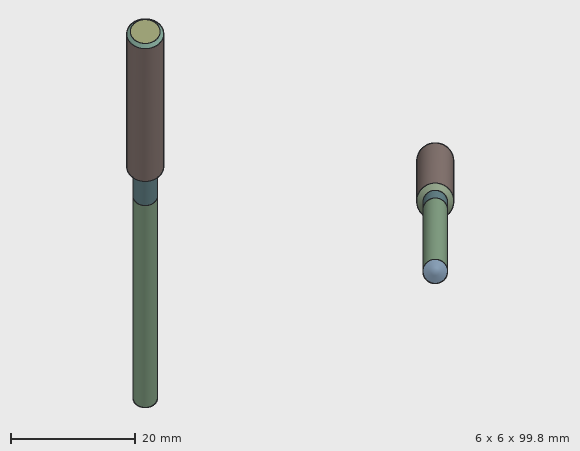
import cadquery as cq

shank_diameter = 6.0
total_length = 99.8
shank_chamfer = 0.6
shoulder_z = 63.3
neck_top_z = 62.3
joint_z = 55.4

rod_diameter = 4.0
tip_height = 0.7

shank_radius = shank_diameter / 2
rod_radius = rod_diameter / 2


def make_shank():
    """Revolve the chamfered shank, its shoulder cone and its neck."""
    return (
        cq.Workplane("XZ")
        .moveTo(0, joint_z)
        .lineTo(rod_radius, joint_z)
        .lineTo(rod_radius, neck_top_z)
        .lineTo(shank_radius, shoulder_z)
        .lineTo(shank_radius, total_length - shank_chamfer)
        .lineTo(shank_radius - shank_chamfer, total_length)
        .lineTo(0, total_length)
        .close()
        .revolve(360, (0, 0), (0, 1))
    )


def make_rod():
    """Revolve the rod, with its conical point at the origin."""
    return (
        cq.Workplane("XZ")
        .lineTo(rod_radius, tip_height)
        .lineTo(rod_radius, joint_z)
        .lineTo(0, joint_z)
        .close()
        .revolve(360, (0, 0), (0, 1))
    )


shank = make_shank()
rod = make_rod()

result = cq.Compound.makeCompound([shank.val(), rod.val()])